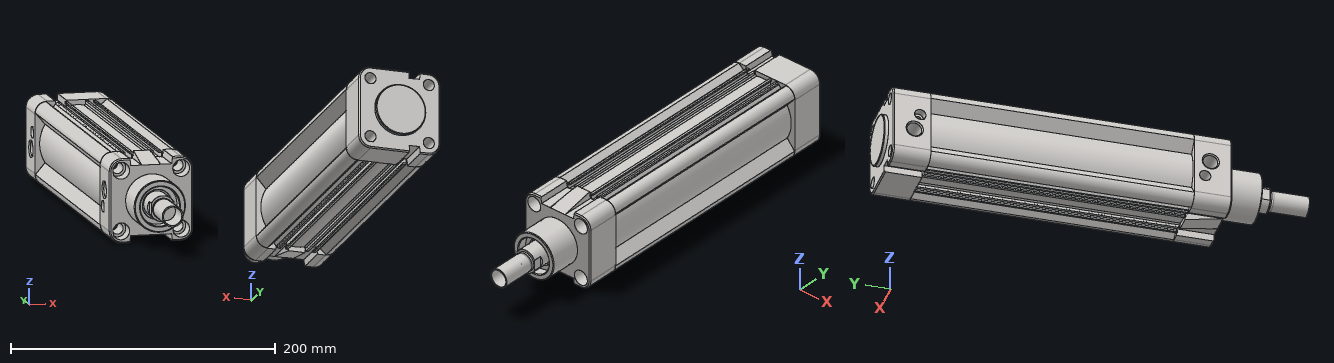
import cadquery as cq
import math


cap_length = 29.7
barrel_length = 207.2
front_boss_length = 27.7
rear_boss_length = 3.5
rod_tip_y = -68.0
barrel_front_y = cap_length
barrel_rear_y = barrel_front_y + barrel_length
rear_face_y = barrel_rear_y + cap_length
boss_face_y = -front_boss_length

cap_width = 65.0
cap_half = cap_width / 2
cap_corner_radius = 9.5
cap_chamfer = 1.0
boss_radius = 20.0
boss_chamfer = 0.7
channel_floor = 27.0
channel_half_at_top = 16.5
channel_half_at_floor = 16.0
rear_channel_inner = 7.8
ramp_half_at_top = 6.5
ramp_half_at_floor = 7.5

bolt_offset = 23.3
bolt_hole_radius = 3.7
bolt_cap_hole_radius = 4.5
bolt_counterbore_radius = 6.5
bolt_counterbore_depth = 12.2

port_inset = 17.0
port_height = 6.0
port_radius = 5.7
port_chamfer = 1.0
screw_inset = 21.3
screw_height = 7.5
screw_head_radius = 4.5
screw_head_depth = 6.8
screw_bore_radius = 2.5

barrel_half = 32.0
barrel_corner_radius = 8.5
barrel_corner = barrel_half - barrel_corner_radius
tube_radius = 28.7
side_tube_half = 15.0
top_tube_half = 5.7
inner_lip = (7.0, 29.0)
lip_height = 31.5
lip_thickness = 1.5
mouth_inner = 9.0
mouth_outer = 13.2
slot_inner = 8.0
slot_outer = 15.2
slot_floor = 25.5
groove_bottom = (18.3, 27.5)
outer_lip_edge = 16.5
outer_lip_crown = 15.0

rod_diameter = 20.0
rod_radius = rod_diameter / 2
flat_half = 8.8
flat_start_y = boss_face_y - 2.5
shoulder_y = rod_tip_y + 31.0
thread_start_y = rod_tip_y + 28.0
thread_radius = 8.0
undercut_radius = 7.8
tip_bore_radius = 7.0
tip_bore_depth = 20.3
recess_radius = 15.2
recess_depth = 8.5
recess_chamfer = 0.7
gland_radius = 11.5
gland_depth = 2.7
cushion_radius = 11.0
cushion_depth = 22.3


def cylinder_y(radius, start, end, x=0.0, z=0.0):
    """Cylinder along Y between two Y positions."""
    base = cq.Vector(x, start, z)
    return cq.Workplane(cq.Solid.makeCylinder(radius, end - start, base, cq.Vector(0, 1, 0)))


def extrude_y(outline, start, end):
    """Extrude a closed outline, drawn in X and Z, between two Y positions."""
    return outline.extrude(start - end).translate((0, start, 0))


def both_sides(body, plane):
    """A body together with its mirror image."""
    return body.union(body.mirror(plane))


def end_cap(start, outer_face):
    """Square block with rounded corners and a chamfer around its outer face."""
    block = cq.Workplane("XY").box(cap_width, cap_length, cap_width)
    block = block.edges("|Y").fillet(cap_corner_radius)
    block = block.faces(outer_face).edges().chamfer(cap_chamfer)
    return block.translate((0, start + cap_length / 2, 0))


def barrel():
    """Profile tube: one quarter of the section, mirrored about both middle planes."""
    side_x = math.sqrt(tube_radius**2 - side_tube_half**2)
    top_z = math.sqrt(tube_radius**2 - top_tube_half**2)
    side_mid = math.asin(side_tube_half / tube_radius) / 2
    top_mid = math.asin(top_tube_half / tube_radius) / 2
    lip_underside = lip_height - lip_thickness
    side_arc_mid = (tube_radius * math.cos(side_mid), tube_radius * math.sin(side_mid))
    top_arc_mid = (tube_radius * math.sin(top_mid), tube_radius * math.cos(top_mid))
    corner_mid = barrel_corner + barrel_corner_radius * math.sqrt(0.5)
    outline = (
        cq.Workplane("XZ")
        .lineTo(tube_radius, 0)
        .threePointArc(side_arc_mid, (side_x, side_tube_half))
        .lineTo(barrel_half, barrel_corner)
        .threePointArc((corner_mid, corner_mid), (barrel_corner, barrel_half))
        .lineTo(*groove_bottom)
        .lineTo(outer_lip_edge, lip_underside)
        .lineTo(outer_lip_crown, lip_height)
        .lineTo(mouth_outer, lip_height)
        .lineTo(mouth_outer, lip_underside)
        .lineTo(slot_outer, lip_underside)
        .lineTo(slot_outer, slot_floor)
        .lineTo(slot_inner, slot_floor)
        .lineTo(slot_inner, lip_underside)
        .lineTo(mouth_inner, lip_underside)
        .lineTo(mouth_inner, lip_height)
        .lineTo(inner_lip[0], lip_height)
        .lineTo(*inner_lip)
        .lineTo(top_tube_half, top_z)
        .threePointArc(top_arc_mid, (0, tube_radius))
        .close()
    )
    quarter = extrude_y(outline, barrel_front_y, barrel_rear_y)
    return both_sides(both_sides(quarter, "YZ"), "XY")


def front_channel():
    """Wide channel across the top of the front cap, with a ramp rising to the barrel in its middle."""
    channel = extrude_y(
        cq.Workplane("XZ").polyline([
            (-channel_half_at_floor, channel_floor),
            (channel_half_at_floor, channel_floor),
            (channel_half_at_top, cap_half),
            (-channel_half_at_top, cap_half),
        ]).close(),
        0, cap_length,
    )
    ridge = extrude_y(
        cq.Workplane("XZ").polyline([
            (-ramp_half_at_floor, channel_floor),
            (ramp_half_at_floor, channel_floor),
            (ramp_half_at_top, cap_half),
            (-ramp_half_at_top, cap_half),
        ]).close(),
        0, cap_length,
    )
    wedge = (
        cq.Workplane("YZ")
        .polyline([(0, channel_floor), (cap_length, channel_floor), (cap_length, cap_half)])
        .close()
        .extrude(ramp_half_at_floor, both=True)
    )
    return channel.cut(ridge.intersect(wedge))


def rear_channel():
    """One-sided channel across the top of the rear cap, in line with the -X slot of the barrel."""
    outline = cq.Workplane("XZ").polyline([
        (-channel_half_at_floor, channel_floor),
        (-rear_channel_inner, channel_floor),
        (-rear_channel_inner, cap_half),
        (-channel_half_at_top, cap_half),
    ]).close()
    return extrude_y(outline, barrel_rear_y, rear_face_y)


def side_hole(radius, depth, y, z):
    """Round hole going in from the -X side."""
    start = cq.Vector(-cap_half, y, z)
    return cq.Workplane(cq.Solid.makeCylinder(radius, depth, start, cq.Vector(1, 0, 0)))


def mouth_cone(radius, chamfer, center, direction):
    """Cone that chamfers the mouth of a round hole going in along the given direction."""
    return cq.Workplane(cq.Solid.makeCone(radius + chamfer, radius, chamfer, center, direction))


def port(y, z):
    """Air port drilled to the cylinder axis, with a chamfered mouth."""
    mouth = mouth_cone(port_radius, port_chamfer, cq.Vector(-cap_half, y, z), cq.Vector(1, 0, 0))
    return side_hole(port_radius, cap_half, y, z).union(mouth)


def housing():
    body = barrel().union(end_cap(0, "<Y")).union(end_cap(barrel_rear_y, ">Y"))

    front_boss = cylinder_y(boss_radius, boss_face_y, cap_length).faces("<Y").chamfer(boss_chamfer)
    rear_boss = cylinder_y(boss_radius, barrel_rear_y, rear_face_y + rear_boss_length)
    body = body.union(front_boss).union(rear_boss.faces(">Y").chamfer(boss_chamfer))

    body = body.cut(both_sides(front_channel(), "XY")).cut(both_sides(rear_channel(), "XY"))

    for x in (-bolt_offset, bolt_offset):
        for z in (-bolt_offset, bolt_offset):
            body = body.cut(cylinder_y(bolt_hole_radius, 0, rear_face_y, x, z))
            body = body.cut(cylinder_y(bolt_cap_hole_radius, 0, cap_length, x, z))
            body = body.cut(cylinder_y(bolt_cap_hole_radius, barrel_rear_y, rear_face_y, x, z))
            body = body.cut(cylinder_y(bolt_counterbore_radius, 0, bolt_counterbore_depth, x, z))

    recess_floor_y = boss_face_y + recess_depth
    body = body.cut(cylinder_y(rod_radius, boss_face_y, barrel_rear_y))
    body = body.cut(cylinder_y(recess_radius, boss_face_y, recess_floor_y))
    recess_mouth = cq.Vector(0, boss_face_y, 0)
    body = body.cut(mouth_cone(recess_radius, recess_chamfer, recess_mouth, cq.Vector(0, 1, 0)))
    body = body.cut(cylinder_y(gland_radius, boss_face_y, recess_floor_y + gland_depth))
    body = body.cut(cylinder_y(cushion_radius, barrel_rear_y, barrel_rear_y + cushion_depth))

    body = body.cut(port(port_inset, port_height))
    body = body.cut(port(rear_face_y - port_inset, -port_height))
    rear_screw_y = rear_face_y - screw_inset
    body = body.cut(side_hole(screw_head_radius, cap_half, screw_inset, -screw_height))
    body = body.cut(side_hole(screw_head_radius, screw_head_depth, rear_screw_y, screw_height))
    body = body.cut(side_hole(screw_bore_radius, cap_half, rear_screw_y, screw_height))
    return body


def piston_rod():
    undercut_y = (shoulder_y + thread_start_y) / 2
    half_section = cq.Workplane("XY").polyline([
        (0, barrel_rear_y),
        (rod_radius, barrel_rear_y),
        (rod_radius, shoulder_y),
        (thread_radius, shoulder_y),
        (undercut_radius, undercut_y),
        (thread_radius, thread_start_y),
        (thread_radius, rod_tip_y),
        (tip_bore_radius, rod_tip_y),
        (tip_bore_radius, rod_tip_y + tip_bore_depth),
        (0, rod_tip_y + tip_bore_depth),
    ]).close()
    rod = half_section.revolve(360, (0, 0, 0), (0, 1, 0))

    runout_y = flat_start_y + rod_radius - flat_half
    flat_cut = (
        cq.Workplane("XY")
        .polyline([
            (flat_half, shoulder_y),
            (flat_half, flat_start_y),
            (rod_radius, runout_y),
            (rod_radius, shoulder_y),
        ])
        .close()
        .extrude(rod_radius, both=True)
    )
    return rod.cut(flat_cut).cut(flat_cut.mirror("YZ"))


result = cq.Compound.makeCompound([housing().val(), piston_rod().val()])